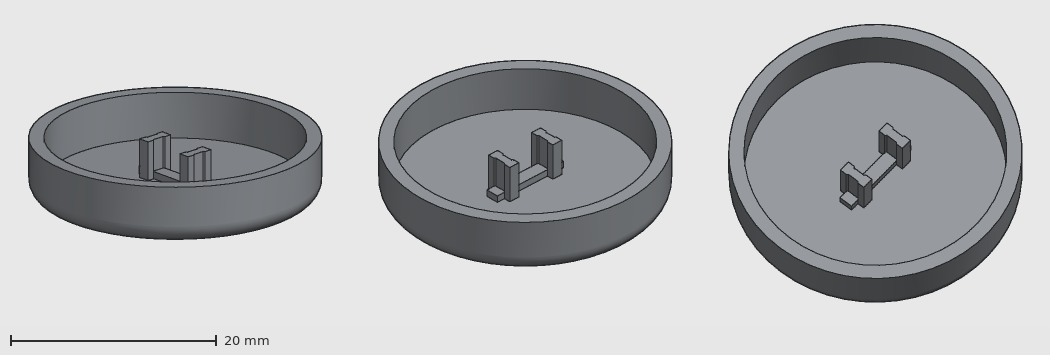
import cadquery as cq

outer_diameter = 28.5
inner_diameter = 25.55
height = 5.93
floor_thickness = 1.2
bottom_fillet = 1.8

bar_length = 8.85
bar_width = 1.48
bar_height = 0.75

post_spacing = 5.75
post_thickness = 1.2
post_width = 3.0
post_height = 4.0

groove_depth = 0.15
groove_mouth_width = 1.5


def make_cup():
    cup = cq.Workplane("XY").circle(outer_diameter / 2).extrude(height)
    cup = cup.faces("<Z").edges().fillet(bottom_fillet)
    cavity = (
        cq.Workplane("XY", origin=(0, 0, floor_thickness))
        .circle(inner_diameter / 2)
        .extrude(height - floor_thickness)
    )
    return cup.cut(cavity)


def make_bar():
    bar_start = floor_thickness / 2
    return (
        cq.Workplane("XY", origin=(0, 0, bar_start))
        .rect(bar_length, bar_width)
        .extrude(floor_thickness + bar_height - bar_start)
    )


def make_post(x):
    half_thickness = post_thickness / 2
    half_width = post_width / 2
    half_mouth = groove_mouth_width / 2
    waist = half_thickness - groove_depth
    half_groove_floor = half_mouth - groove_depth
    right_side = [
        (half_thickness, -half_width),
        (half_thickness, -half_mouth),
        (waist, -half_groove_floor),
        (waist, half_groove_floor),
        (half_thickness, half_mouth),
        (half_thickness, half_width),
    ]
    left_side = [(-px, -py) for px, py in right_side]
    post_start = floor_thickness / 2
    return (
        cq.Workplane("XY", origin=(x, 0, post_start))
        .polyline(right_side + left_side)
        .close()
        .extrude(floor_thickness + post_height - post_start)
    )


result = make_cup().union(make_bar())
for side in (-1, 1):
    result = result.union(make_post(side * post_spacing / 2))